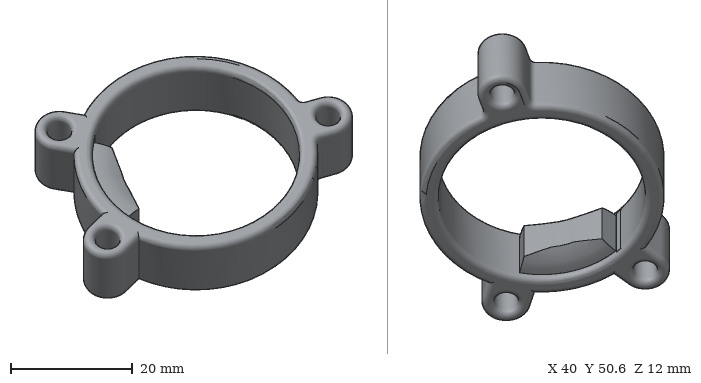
import cadquery as cq
import math

RING_OUTER_RADIUS = 20.0
RING_INNER_RADIUS = 17.0
HEIGHT = 12.0

OVERALL_LENGTH = 50.55
EAR_RADIUS = 4.0
HOLE_DIAMETER = 4.0
BACK_EAR_Y = 23.0
FRONT_EAR_X = 11.85
FRONT_EAR_Y = BACK_EAR_Y + 2 * EAR_RADIUS - OVERALL_LENGTH
BACK_EAR = (0, BACK_EAR_Y)
FRONT_EARS = [(-FRONT_EAR_X, FRONT_EAR_Y), (FRONT_EAR_X, FRONT_EAR_Y)]
BACK_EAR_BLEND = 1.0

RIM_LAND = 0.005
EDGE_ROUND = (EAR_RADIUS - HOLE_DIAMETER / 2 - RIM_LAND) / 2

PAD_LIP_RADIUS = 12.4
PAD_WALL_HEIGHT = 9.15
PAD_CROWN_RADIUS = 8.1
PAD_FLAT_Y = -12.25
PAD_FLAT_HALF_WIDTH = 6.65
PAD_SIDE_ANGLE = 31.0

KEY_WIDTH = 1.0


def make_ear(x, y):
    """A lug with a round end and parallel sides, which starts from the ring's axis."""
    reach = math.hypot(x, y)
    direction = math.degrees(math.atan2(y, x))
    return (
        cq.Workplane("XY")
        .center(reach / 2, 0)
        .slot2D(reach + 2 * EAR_RADIUS, 2 * EAR_RADIUS)
        .extrude(HEIGHT)
        .rotate((0, 0, 0), (0, 0, 1), direction)
    )


def round_edges(body):
    """Round the whole top and bottom outline."""
    return body.faces("|Z").edges().fillet(EDGE_ROUND)


def blend_back_ear(body):
    """Fillet the two upright corners between the back ear and the ring."""
    corner_y = math.sqrt(RING_OUTER_RADIUS**2 - EAR_RADIUS**2)
    for side in (-1, 1):
        corner = cq.selectors.NearestToPointSelector((side * EAR_RADIUS, corner_y, HEIGHT / 2))
        body = body.edges("|Z").edges(corner).fillet(BACK_EAR_BLEND)
    return body


def rounded_bore(x, y, radius):
    """The space of a through bore whose two mouths flare out in a quarter round."""
    mouth_radius = radius + EDGE_ROUND
    slant = EDGE_ROUND * (1 - math.sqrt(0.5))
    return (
        cq.Workplane("XZ")
        .lineTo(mouth_radius, 0)
        .threePointArc((radius + slant, slant), (radius, EDGE_ROUND))
        .lineTo(radius, HEIGHT - EDGE_ROUND)
        .threePointArc((radius + slant, HEIGHT - slant), (mouth_radius, HEIGHT))
        .lineTo(0, HEIGHT)
        .close()
        .revolve(360, (0, 0), (0, 1))
        .translate((x, y, 0))
    )


def make_housing():
    """The ring with its ears and bores; the front ears meet the ring in sharp corners."""
    ring = cq.Workplane("XY").circle(RING_OUTER_RADIUS).extrude(HEIGHT)
    body = round_edges(blend_back_ear(ring.union(make_ear(*BACK_EAR))))
    for x, y in FRONT_EARS:
        body = body.union(round_edges(make_ear(x, y)))
    body = body.cut(rounded_bore(0, 0, RING_INNER_RADIUS))
    for x, y in [BACK_EAR, *FRONT_EARS]:
        body = body.cut(rounded_bore(x, y, HOLE_DIAMETER / 2))
    return body


def crown_drop(inset):
    """How far the pad's crown has fallen at a distance from the ring's wall."""
    return PAD_CROWN_RADIUS - math.sqrt(PAD_CROWN_RADIUS**2 - inset**2)


def make_pad():
    """A crowned band on the inner wall, trimmed by a flat and two slanted sides."""
    bottom = (HEIGHT - PAD_WALL_HEIGHT) / 2
    top = bottom + PAD_WALL_HEIGHT
    lip_inset = RING_INNER_RADIUS - PAD_LIP_RADIUS
    lip_drop = crown_drop(lip_inset)
    middle_radius = RING_INNER_RADIUS - lip_inset / 2
    middle_drop = crown_drop(lip_inset / 2)
    band = (
        cq.Workplane("XZ")
        .moveTo(RING_INNER_RADIUS, bottom)
        .lineTo(RING_INNER_RADIUS, top)
        .threePointArc((middle_radius, top - middle_drop), (PAD_LIP_RADIUS, top - lip_drop))
        .lineTo(PAD_LIP_RADIUS, bottom + lip_drop)
        .threePointArc((middle_radius, bottom + middle_drop), (RING_INNER_RADIUS, bottom))
        .close()
        .revolve(360, (0, 0), (0, 1))
    )

    depth = RING_INNER_RADIUS + PAD_FLAT_Y
    back_half_width = PAD_FLAT_HALF_WIDTH + depth * math.tan(math.radians(PAD_SIDE_ANGLE))
    trim = (
        cq.Workplane("XY")
        .moveTo(-PAD_FLAT_HALF_WIDTH, PAD_FLAT_Y)
        .lineTo(PAD_FLAT_HALF_WIDTH, PAD_FLAT_Y)
        .lineTo(back_half_width, -RING_INNER_RADIUS)
        .lineTo(-back_half_width, -RING_INNER_RADIUS)
        .close()
        .extrude(HEIGHT)
    )
    return band.intersect(trim)


def make_key():
    """A bar that reaches from the ear's hole to the ring's bore, between their edge rounds."""
    x, y = FRONT_EARS[0]
    reach = math.hypot(x, y)
    direction = math.degrees(math.atan2(y, x))
    bar = (
        cq.Workplane("XY", origin=(0, 0, EDGE_ROUND))
        .center(reach / 2, 0)
        .rect(reach, KEY_WIDTH)
        .extrude(HEIGHT - 2 * EDGE_ROUND)
    )
    bore = cq.Workplane("XY").circle(RING_INNER_RADIUS).extrude(HEIGHT)
    hole = cq.Workplane("XY").center(reach, 0).circle(HOLE_DIAMETER / 2).extrude(HEIGHT)
    return bar.cut(bore).cut(hole).rotate((0, 0, 0), (0, 0, 1), direction)


key = make_key()
housing = make_housing().cut(key)
pad = make_pad()

result = cq.Compound.makeCompound([body.solids().val() for body in (housing, pad, key)])